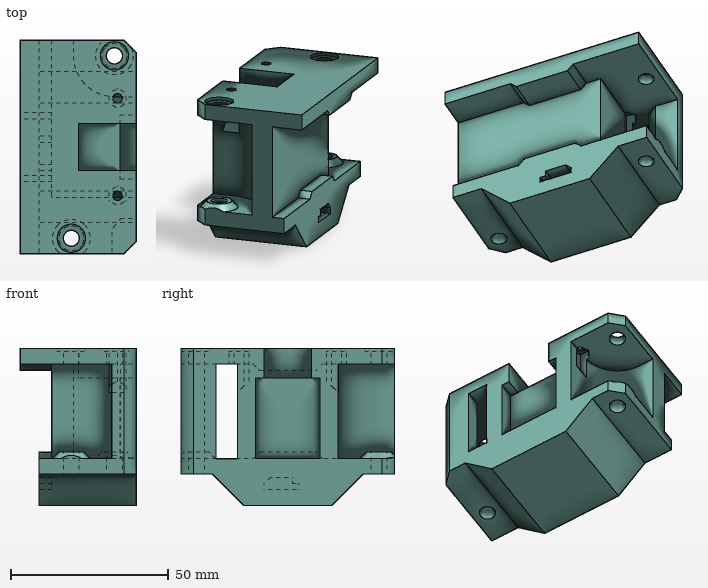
import cadquery as cq
import math

LENGTH_X = 37.0
LENGTH_Y = 68.0
MID_Y = LENGTH_Y / 2
CORNER_CHAMFER = 4.0

KEEL_HEIGHT = 10.0
PLATE_THICKNESS = 5.0
GAP_HEIGHT = 30.0
FLOOR_Z = KEEL_HEIGHT + PLATE_THICKNESS
CEILING_Z = FLOOR_Z + GAP_HEIGHT
TOP_Z = CEILING_Z + PLATE_THICKNESS

LOWER_PLATE_X = 6.0
BLOCK_X = 10.0

KEEL_TIP_WIDTH = 28.0
LIP_HEIGHT = 2.0
LIP_TIP_WIDTH = 18.0

FRONT_SCREW = (16.3, 5.0)
REAR_SCREW = (30.0, 63.0)
FRONT_BORE = 5.0
REAR_BORE = 5.1
COUNTERBORE = 9.0
COUNTERBORE_DEPTH = 1.0
ROOM_RADIUS = 13.0
BOSS_TIP_RADIUS = 4.0
BOSS_HEIGHT = 2.0

LEG_RIDGE_Y = 7.6
LEG_END_X = 32.0
LEG_END_Y = 11.25

NOTCH_X = 18.5
NOTCH_WIDTH = 15.0
NOTCH_FLOOR_Z = 40.6
CAVITY_X = 31.8
CAVITY_WIDTH = 20.4

NUT_HOLE = 3.0
NUT_HOLE_X = 31.0
NUT_HOLE_SPACING = 31.0
NUT_ACROSS_FLATS = 5.5
NUT_TURN = 30.0
NUT_ROOF_THICKNESS = 1.0
NUT_RAMP_Z = 36.0

SLOT_START_Y = 26.5
SLOT_END_Y = 37.5
SLOT_BOTTOM_Z = 5.1
SLOT_TOP_Z = 9.0
SLOT_STEP = 2.0
SLOT_DEPTH = 4.0


def box(x_range, y_range, z_range):
    """A box given by its start and end along each axis."""
    size = [end - start for start, end in (x_range, y_range, z_range)]
    corner = (x_range[0], y_range[0], z_range[0])
    return cq.Workplane("XY").box(*size, centered=False).translate(corner)


def tapered_bar(x_start, x_end, tip_width, base_z, tip_z):
    """A bar along X, centred on Y, narrowing at 45 degrees from base_z to tip_z."""
    half_tip = tip_width / 2
    half_base = half_tip + abs(tip_z - base_z)
    outline = [
        (MID_Y - half_base, base_z),
        (MID_Y + half_base, base_z),
        (MID_Y + half_tip, tip_z),
        (MID_Y - half_tip, tip_z),
    ]
    bar = cq.Workplane("YZ").polyline(outline).close().extrude(x_end - x_start)
    return bar.translate((x_start, 0, 0))


def front_room_outline():
    """Outline of the space around the front screw, open to -X and -Y and passing through to +X."""
    screw_x, screw_y = FRONT_SCREW
    ridge_rise = LEG_RIDGE_Y - screw_y
    ridge_x = screw_x + math.sqrt(ROOM_RADIUS**2 - ridge_rise**2)
    half_angle = math.asin(ridge_rise / ROOM_RADIUS) / 2
    arc_middle = (
        screw_x + ROOM_RADIUS * math.cos(half_angle),
        screw_y + ROOM_RADIUS * math.sin(half_angle),
    )
    return (
        cq.Workplane("XY", origin=(0, 0, FLOOR_Z))
        .moveTo(0, 0)
        .lineTo(screw_x + ROOM_RADIUS, 0)
        .lineTo(screw_x + ROOM_RADIUS, screw_y)
        .threePointArc(arc_middle, (ridge_x, LEG_RIDGE_Y))
        .lineTo(LEG_END_X, LEG_END_Y)
        .lineTo(LENGTH_X, LEG_END_Y)
        .lineTo(LENGTH_X, screw_y + ROOM_RADIUS)
        .lineTo(0, screw_y + ROOM_RADIUS)
        .close()
    )


def rear_room_outline(z):
    """Outline of the space around the rear screw, open to +X and +Y."""
    screw_x, screw_y = REAR_SCREW
    diagonal = ROOM_RADIUS * math.sqrt(0.5)
    return (
        cq.Workplane("XY", origin=(0, 0, z))
        .moveTo(LENGTH_X, screw_y - ROOM_RADIUS)
        .lineTo(screw_x, screw_y - ROOM_RADIUS)
        .threePointArc(
            (screw_x - diagonal, screw_y - diagonal),
            (screw_x - ROOM_RADIUS, screw_y),
        )
        .lineTo(screw_x - ROOM_RADIUS, LENGTH_Y)
        .lineTo(LENGTH_X, LENGTH_Y)
        .close()
    )


def boss(screw):
    """A 45-degree cone standing on the lower plate around a screw."""
    base_radius = BOSS_TIP_RADIUS + BOSS_HEIGHT
    cone = cq.Solid.makeCone(base_radius, BOSS_TIP_RADIUS, BOSS_HEIGHT)
    return cq.Workplane(cone).translate((*screw, FLOOR_Z))


def footprint():
    """The outer outline over the full height, chamfered at the two +X corners."""
    full = box((0, LENGTH_X), (0, LENGTH_Y), (0, TOP_Z))
    return full.edges("|Z and >X").chamfer(CORNER_CHAMFER)


def screw_hole(screw, bore):
    """A through bore with a shallow counterbore in the top."""
    hole = cq.Workplane("XY").center(*screw).circle(bore / 2).extrude(TOP_Z)
    recess = (
        cq.Workplane("XY", origin=(0, 0, TOP_Z))
        .center(*screw)
        .circle(COUNTERBORE / 2)
        .extrude(-COUNTERBORE_DEPTH)
    )
    return hole.union(recess)


def nut_trap(y, ramp_room):
    """A hexagonal pocket whose bottom ramps up at 45 degrees from a screw room."""
    height = TOP_Z - NUT_ROOF_THICKNESS - NUT_RAMP_Z
    corner_diameter = NUT_ACROSS_FLATS / math.cos(math.pi / 6)
    hexagon = (
        cq.Workplane("XY")
        .polygon(6, corner_diameter)
        .extrude(height)
        .rotate((0, 0, 0), (0, 0, 1), NUT_TURN)
        .translate((NUT_HOLE_X, y, NUT_RAMP_Z))
    )
    hole = (
        cq.Workplane("XY", origin=(NUT_HOLE_X, y, TOP_Z))
        .circle(NUT_HOLE / 2)
        .extrude(-NUT_ROOF_THICKNESS)
    )
    return hexagon.intersect(ramp_room).union(hole)


def keel_slot():
    """A blind slot with a stepped corner and a chamfered corner."""
    outline = [
        (SLOT_START_Y, SLOT_BOTTOM_Z),
        (SLOT_END_Y, SLOT_BOTTOM_Z),
        (SLOT_END_Y, SLOT_TOP_Z - SLOT_STEP),
        (SLOT_END_Y - SLOT_STEP, SLOT_TOP_Z - SLOT_STEP),
        (SLOT_END_Y - SLOT_STEP, SLOT_TOP_Z),
        (SLOT_START_Y + SLOT_STEP, SLOT_TOP_Z),
        (SLOT_START_Y, SLOT_TOP_Z - SLOT_STEP),
    ]
    slot = cq.Workplane("YZ").polyline(outline).close().extrude(SLOT_DEPTH)
    return slot.translate((LOWER_PLATE_X, 0, 0))


all_y = (0, LENGTH_Y)
block = box((BLOCK_X, LENGTH_X), all_y, (FLOOR_Z, CEILING_Z))
block = block.cut(front_room_outline().extrude(GAP_HEIGHT))
block = block.cut(rear_room_outline(FLOOR_Z).extrude(GAP_HEIGHT))

body = block.union(box((0, LENGTH_X), all_y, (CEILING_Z, TOP_Z)))
body = body.union(box((LOWER_PLATE_X, LENGTH_X), all_y, (KEEL_HEIGHT, FLOOR_Z)))
body = body.union(tapered_bar(LOWER_PLATE_X, LENGTH_X, KEEL_TIP_WIDTH, KEEL_HEIGHT, 0))
body = body.union(tapered_bar(LOWER_PLATE_X, BLOCK_X, LIP_TIP_WIDTH, FLOOR_Z, FLOOR_Z + LIP_HEIGHT))
body = body.union(tapered_bar(0, BLOCK_X, LIP_TIP_WIDTH, CEILING_Z, CEILING_Z - LIP_HEIGHT))
for screw_place in (FRONT_SCREW, REAR_SCREW):
    body = body.union(boss(screw_place))
body = body.intersect(footprint())

body = body.cut(screw_hole(FRONT_SCREW, FRONT_BORE))
body = body.cut(screw_hole(REAR_SCREW, REAR_BORE))

notch_y = (MID_Y - NOTCH_WIDTH / 2, MID_Y + NOTCH_WIDTH / 2)
cavity_y = (MID_Y - CAVITY_WIDTH / 2, MID_Y + CAVITY_WIDTH / 2)
body = body.cut(box((NOTCH_X, LENGTH_X), notch_y, (NOTCH_FLOOR_Z, TOP_Z)))
body = body.cut(box((CAVITY_X, LENGTH_X), cavity_y, (FLOOR_Z, NOTCH_FLOOR_Z)))

ramp_height = TOP_Z - NUT_RAMP_Z
front_ramp_room = (
    cq.Workplane("XY", origin=(0, 0, NUT_RAMP_Z))
    .rect(LENGTH_X, FRONT_SCREW[1] + ROOM_RADIUS, centered=False)
    .extrude(ramp_height, taper=-45)
)
rear_ramp_room = rear_room_outline(NUT_RAMP_Z).extrude(ramp_height, taper=-45)
body = body.cut(nut_trap(MID_Y - NUT_HOLE_SPACING / 2, front_ramp_room))
body = body.cut(nut_trap(MID_Y + NUT_HOLE_SPACING / 2, rear_ramp_room))

result = body.cut(keel_slot())